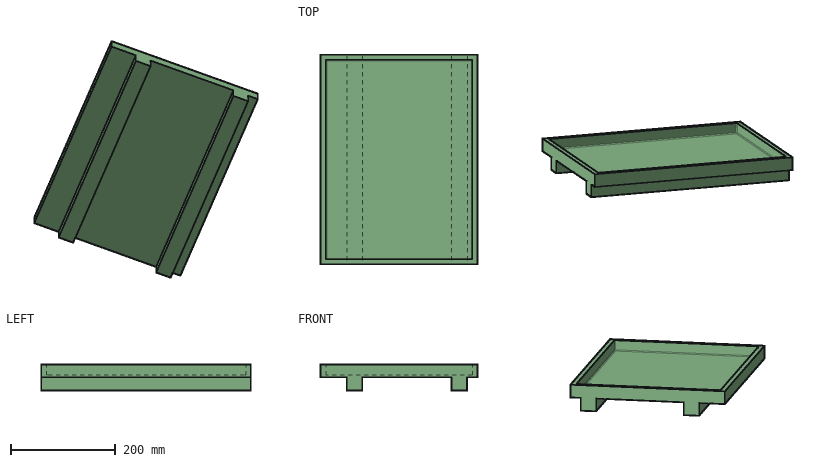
import cadquery as cq

width = 300.0
length = 400.0
height = 50.0

tray_height = height / 2
foot_height = height - tray_height
wall = 10.0
recess_depth = 20.0

inner_radius = 2.0

foot_width = 30.0
foot_pitch = 200.0
first_foot_start = 50.0


def block(x_size, y_size, z_size, x_start, y_start, z_start):
    """Box placed by its lowest corner."""
    box = cq.Workplane("XY").box(x_size, y_size, z_size, centered=False)
    return box.translate((x_start, y_start, z_start))


tray = block(width, length, tray_height, 0, 0, foot_height)
recess = block(width - 2 * wall, length - 2 * wall, recess_depth, wall, wall, height - recess_depth)
recess = recess.edges("|Z or <Z").fillet(inner_radius)
tray = tray.cut(recess)

result = tray
for foot_start in (first_foot_start, first_foot_start + foot_pitch):
    result = result.union(block(foot_width, length, foot_height, foot_start, 0, 0))